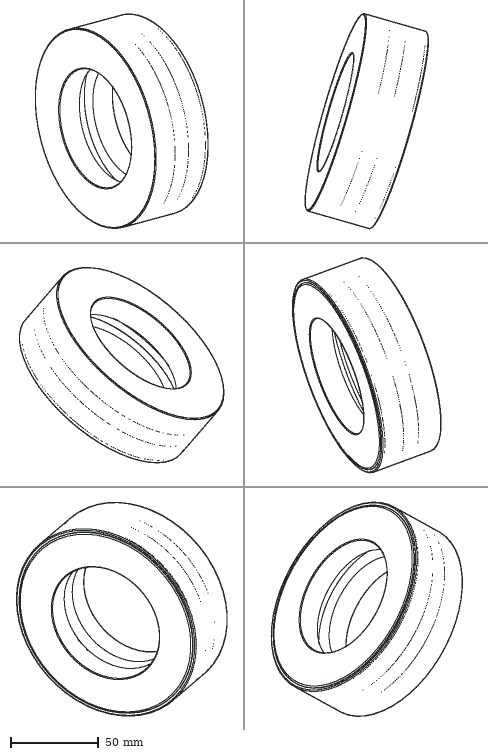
import cadquery as cq
import math


bearing_width = 38.1
half_width = bearing_width / 2

bore_radius = 69.85 / 2
race_thickness = 14.2875
bore_chamfer = 0.508
half_gap = half_width - race_thickness

ball_radius = 12.7 / 2
groove_inner_radius = 43.3
groove_half_mouth = math.sqrt(ball_radius**2 - half_gap**2)
pitch_radius = groove_inner_radius + groove_half_mouth

band_outer_radius = 117.475 / 2
band_inner_radius = 116.1 / 2
band_front_chamfer = 0.508
race_radius = band_inner_radius

lip_inner_radius = 113.41 / 2
lip_setback = 0.35
lip_end = half_width - lip_setback
lip_bevel_length = 0.54
rear_face_radius = 55.7
rear_chamfer = race_radius - rear_face_radius
rear_chamfer_start = half_width - rear_chamfer
lip_root = half_width - (lip_inner_radius - rear_face_radius)


def revolve_about_y(profile):
    """Full turn of a closed profile drawn with radius along X and the axis along Y."""
    return profile.close().revolve(360, (0, 0, 0), (0, 1, 0))


def groove_cutter():
    """Ring of circular section that cuts the ball groove."""
    section = cq.Workplane("XY").center(pitch_radius, 0).circle(ball_radius)
    return section.revolve(360, (-pitch_radius, 0, 0), (-pitch_radius, 1, 0))


def make_front_race():
    profile = (
        cq.Workplane("XY")
        .moveTo(bore_radius + bore_chamfer, -half_width)
        .lineTo(race_radius, -half_width)
        .lineTo(race_radius, -half_gap)
        .lineTo(bore_radius, -half_gap)
        .lineTo(bore_radius, -half_width + bore_chamfer)
    )
    return revolve_about_y(profile).cut(groove_cutter())


def make_rear_race():
    """Rear race, with a 45 degree outer chamfer that seats the band lip."""
    profile = (
        cq.Workplane("XY")
        .moveTo(bore_radius + bore_chamfer, half_width)
        .lineTo(rear_face_radius, half_width)
        .lineTo(race_radius, rear_chamfer_start)
        .lineTo(race_radius, half_gap)
        .lineTo(bore_radius, half_gap)
        .lineTo(bore_radius, half_width - bore_chamfer)
    )
    return revolve_about_y(profile).cut(groove_cutter())


def make_band():
    """Sleeve chamfered at its front end, with the swaged lip at its rear end."""
    profile = (
        cq.Workplane("XY")
        .moveTo(band_inner_radius, -half_width)
        .lineTo(band_outer_radius - band_front_chamfer, -half_width)
        .lineTo(band_outer_radius, -half_width + band_front_chamfer)
        .lineTo(band_outer_radius, lip_end - lip_bevel_length)
        .lineTo(band_inner_radius, lip_end)
        .lineTo(lip_inner_radius, lip_end)
        .lineTo(lip_inner_radius, lip_root)
        .lineTo(band_inner_radius, rear_chamfer_start)
    )
    return revolve_about_y(profile)


front_race = make_front_race()
rear_race = make_rear_race()
band = make_band()

result = cq.Compound.makeCompound([front_race.val(), rear_race.val(), band.val()])